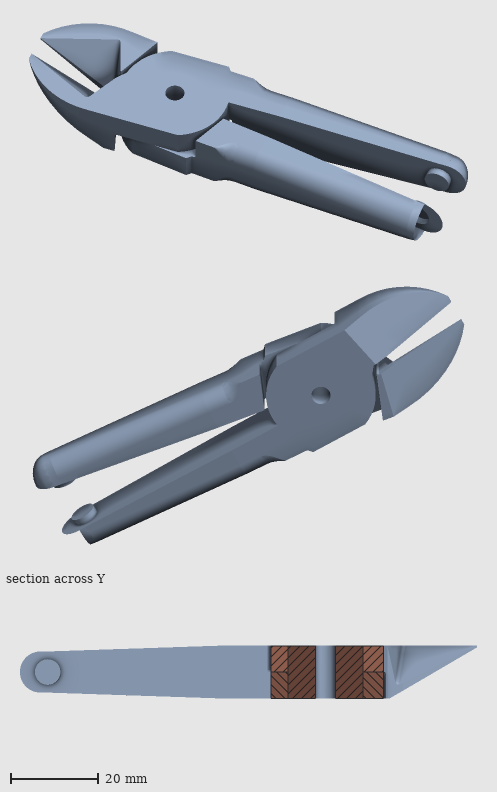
import cadquery as cq
import math


overall_length = 104.6
thickness = 12.0
half_thickness = thickness / 2
handle_end_x = 69.9
jaw_tip_x = handle_end_x - overall_length

pin_radius = 8.6
pin_hole_radius = 2.2

head_radius = 12.6
head_flat_y = 11.2
head_flat_x = math.sqrt(head_radius**2 - head_flat_y**2)
head_arc_mid_angle = math.radians(30)
head_arc_mid_x = head_radius * math.cos(head_arc_mid_angle)
head_arc_mid_y = head_radius * math.sin(head_arc_mid_angle)
stop_x = 8.2
stop_y = 12.1
relief_angle = 20.0
relief_half_width = 13.3
relief_fillet = 0.5

jaw_tip_inner_y = -2.5
jaw_tip_outer_y = -4.1
jaw_gap_y = -1.4
jaw_gap_x = -17.8
jaw_arc_mid = (-26.7, -10.9)
jaw_arc_end = (-16.2, -12.7)
throat_x = -14.2
throat_end_y = 1.2
throat_end_x = -math.sqrt(head_radius**2 - throat_end_y**2)

underside_tip = (jaw_tip_x, jaw_tip_inner_y, 5.6)
underside_inner = (-14.8, jaw_gap_y, -half_thickness)
underside_outer = (-12.3, -12.6, -half_thickness)

pocket_tip = cq.Vector(jaw_tip_x, jaw_tip_inner_y, half_thickness)
pocket_apex = cq.Vector(-17.8, -9.5, half_thickness)
pocket_back = cq.Vector(throat_x, jaw_gap_y, half_thickness)
pocket_floor = cq.Vector(-16.2, jaw_gap_y, -3.1)
pocket_fillet = 0.8

handle_root = (9.1, 11.1)
handle_inner_start_y = 2.4
handle_inner_start = (math.sqrt(head_radius**2 - handle_inner_start_y**2), handle_inner_start_y)
handle_inner_end = (handle_end_x, 6.6)
nose_start_x = 14.9
nose_end_x = 19.6
nose_steps = 4
taper_start_x = 24.7
grip_end = (63.4, 12.3)
cap_center_x = 65.2
cap_radius = handle_end_x - cap_center_x
nose_start_round = 0.05
grip_start_round = 3.7
grip_end_round = 4.6
cap_flat = 0.05

pad_x = grip_end[0]
pad_radius = 2.9
pad_height = 1.7
pad_root = 1.0

blank_size = 2 * overall_length


def y_on_line(x, start, end):
    """Y at x on the straight line through start and end."""
    return start[1] + (end[1] - start[1]) * (x - start[0]) / (end[0] - start[0])


def handle_inner_y(x):
    return y_on_line(x, handle_inner_start, handle_inner_end)


def handle_outer_y(x):
    return y_on_line(x, handle_root, grip_end)


def make_jaw_and_head():
    """Jaw and head as one plate of full thickness."""
    return (
        cq.Workplane("XY", origin=(0, 0, -half_thickness))
        .moveTo(jaw_tip_x, jaw_tip_inner_y)
        .lineTo(jaw_gap_x, jaw_gap_y)
        .lineTo(throat_x, jaw_gap_y)
        .lineTo(throat_end_x, throat_end_y)
        .threePointArc((-head_arc_mid_x, head_arc_mid_y), (-head_flat_x, head_flat_y))
        .lineTo(stop_x, stop_y)
        .lineTo(*handle_root)
        .lineTo(nose_start_x, handle_outer_y(nose_start_x))
        .lineTo(nose_start_x, handle_inner_y(nose_start_x))
        .lineTo(*handle_inner_start)
        .threePointArc((head_arc_mid_x, -head_arc_mid_y), (head_flat_x, -head_flat_y))
        .lineTo(*jaw_arc_end)
        .threePointArc(jaw_arc_mid, (jaw_tip_x, jaw_tip_outer_y))
        .close()
        .extrude(thickness)
    )


def make_underside_cutter():
    """Block below the sloping underside of the jaw."""
    tip = cq.Vector(*underside_tip)
    inner_direction = cq.Vector(*underside_inner) - tip
    outer_direction = cq.Vector(*underside_outer) - tip
    downward = outer_direction.cross(inner_direction)
    if downward.z > 0:
        downward = downward * -1
    plane = cq.Plane(origin=tip, xDir=inner_direction, normal=downward)
    return cq.Workplane(plane).rect(blank_size, blank_size).extrude(blank_size)


def unit_across(vector, axis):
    """Unit vector along the part of a vector that is perpendicular to a unit axis."""
    return (vector - axis * vector.dot(axis)).normalized()


def make_pocket_cutter():
    """V-shaped groove along the line from the pocket apex to its floor, rounded at the bottom."""
    valley = (pocket_floor - pocket_apex).normalized()
    bevel_side = unit_across(pocket_tip - pocket_apex, valley)
    back_side = unit_across(pocket_back - pocket_apex, valley)
    plane = cq.Plane(origin=pocket_apex, xDir=bevel_side, normal=valley)
    back_corner = back_side * overall_length
    return (
        cq.Workplane(plane)
        .lineTo(overall_length, 0)
        .lineTo(back_corner.dot(plane.xDir), back_corner.dot(plane.yDir))
        .close()
        .extrude(overall_length, both=True)
        .edges(cq.selectors.NearestToPointSelector(pocket_apex.toTuple()))
        .fillet(pocket_fillet)
    )


def handle_section(x, half_height, round_y, round_z):
    """Cross-section of the handle at x, with elliptical rounds on its two outer corners."""
    inner = handle_inner_y(x)
    outer = handle_outer_y(x)
    return (
        cq.Workplane("YZ", origin=(x, 0, 0))
        .moveTo(inner, -half_height)
        .lineTo(outer - round_y, -half_height)
        .ellipseArc(round_y, round_z, 270, 360, startAtCurrent=True)
        .lineTo(outer, half_height - round_z)
        .ellipseArc(round_y, round_z, 0, 90, startAtCurrent=True)
        .lineTo(inner, half_height)
        .close()
        .val()
    )


def make_handle():
    """Handle that swells out of the head and tapers in thickness towards a rounded end."""
    grip_end_x = grip_end[0]
    cap_depth = handle_outer_y(cap_center_x) - handle_inner_y(cap_center_x)
    sections = [
        handle_section(nose_end_x, half_thickness, grip_start_round, grip_start_round),
        handle_section(taper_start_x, half_thickness, grip_start_round, grip_start_round),
        handle_section(grip_end_x, cap_radius, grip_end_round, grip_end_round),
        handle_section(cap_center_x, cap_radius, cap_depth - cap_flat, cap_radius - cap_flat),
    ]
    grip = cq.Workplane(cq.Solid.makeLoft(sections, True))
    return grip.union(make_handle_nose()).union(make_handle_cap(cap_depth)).union(make_pad())


def make_handle_nose():
    """Start of the handle, where the rounds grow from almost sharp along a quarter sine wave."""
    sections = []
    for step in range(nose_steps + 1):
        progress = step / nose_steps
        x = nose_start_x + (nose_end_x - nose_start_x) * progress
        growth = math.sin(progress * math.pi / 2)
        round_size = nose_start_round + (grip_start_round - nose_start_round) * growth
        sections.append(handle_section(x, half_thickness, round_size, round_size))
    return cq.Workplane(cq.Solid.makeLoft(sections))


def make_handle_cap(cap_depth):
    """Dome with an elliptical profile that closes the end of the handle."""
    dome = (
        cq.Workplane("XY", origin=(cap_center_x, handle_inner_y(cap_center_x), 0))
        .lineTo(cap_radius, 0)
        .ellipseArc(cap_radius, cap_depth, 0, 90, startAtCurrent=True)
        .close()
        .revolve(360, (0, 0), (0, 1))
    )
    outer_half = (
        cq.Workplane("XY", origin=(0, 0, -half_thickness))
        .moveTo(cap_center_x, handle_inner_y(cap_center_x))
        .lineTo(*handle_inner_end)
        .lineTo(handle_end_x, 2 * grip_end[1])
        .lineTo(cap_center_x, 2 * grip_end[1])
        .close()
        .extrude(thickness)
    )
    return dome.intersect(outer_half)


def make_pad():
    """Round pad standing square on the inner face of the handle."""
    along_face = cq.Vector(*handle_inner_end) - cq.Vector(*handle_inner_start)
    outward = cq.Vector(along_face.y, -along_face.x, 0).normalized()
    center = cq.Vector(pad_x, handle_inner_y(pad_x), 0)
    plane = cq.Plane(origin=center - outward * pad_root, xDir=(0, 0, 1), normal=outward)
    return cq.Workplane(plane).circle(pad_radius).extrude(pad_root + pad_height)


def make_lower_relief():
    """Slab below the meeting plane, its top edges rounded, that clears the head of the other lever."""
    return (
        cq.Workplane("XY", origin=(0, 0, -thickness))
        .rect(2 * relief_half_width, blank_size)
        .extrude(thickness)
        .edges(">Z and |Y")
        .fillet(relief_fillet)
        .rotate((0, 0, 0), (0, 0, 1), relief_angle)
    )


def make_lever_blank():
    """Lever of full thickness, before the room for the other lever is cut away."""
    plate = make_jaw_and_head().cut(make_underside_cutter()).cut(make_pocket_cutter())
    bore = cq.Workplane("XY").circle(pin_radius).extrude(thickness, both=True)
    return plate.union(make_handle()).cut(bore)


def make_upper_lever():
    """Lever whose head fills the upper half of the joint."""
    return make_lever_blank().cut(make_lower_relief())


def make_lower_lever():
    """Lever mirrored to the other side, with a head that fills the lower half of the joint."""
    upper_relief = make_lower_relief().mirror("XY")
    return make_lever_blank().cut(upper_relief).mirror("XZ")


def make_pivot_pin():
    """Hollow pin through both heads, flush with their faces."""
    return (
        cq.Workplane("XY", origin=(0, 0, -half_thickness))
        .circle(pin_radius)
        .circle(pin_hole_radius)
        .extrude(thickness)
    )


upper_lever = make_upper_lever()
lower_lever = make_lower_lever()
pivot_pin = make_pivot_pin()

result = cq.Compound.makeCompound([upper_lever.val(), lower_lever.val(), pivot_pin.val()])